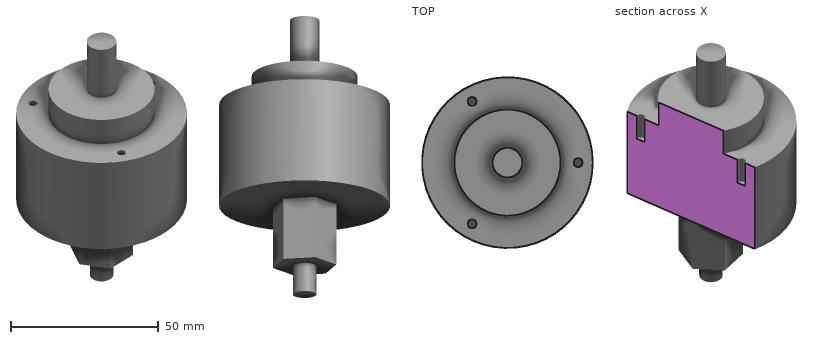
import cadquery as cq
import math

lower_shaft_diameter = 8.0
lower_shaft_length = 10.0
hex_across_flats = 19.0
hex_across_corners = hex_across_flats / math.cos(math.radians(30))
hex_length = 21.45
body_diameter = 58.0
body_length = 36.0
boss_diameter = 36.0
boss_length = 10.0
upper_shaft_diameter = 10.0
upper_shaft_length = 20.0

hole_count = 3
hole_diameter = 3.0
hole_circle_radius = 24.0
hole_depth = 10.0

hex_bottom = lower_shaft_length
body_bottom = hex_bottom + hex_length
body_top = body_bottom + body_length
boss_top = body_top + boss_length


def cylinder(diameter, length, bottom):
    """Cylinder on the Z axis standing on the given level."""
    return cq.Workplane("XY", origin=(0, 0, bottom)).circle(diameter / 2).extrude(length)


def hexagon():
    """Hexagonal section with two of its corners on the X axis."""
    return (
        cq.Workplane("XY", origin=(0, 0, hex_bottom))
        .polygon(6, hex_across_corners)
        .extrude(hex_length)
    )


def mounting_holes():
    """Cutters for the evenly spaced holes, the first one on +X."""
    return (
        cq.Workplane("XY", origin=(0, 0, body_top))
        .polarArray(hole_circle_radius, 0, 360, hole_count)
        .circle(hole_diameter / 2)
        .extrude(-hole_depth)
    )


result = (
    cylinder(lower_shaft_diameter, lower_shaft_length, 0)
    .union(hexagon())
    .union(cylinder(body_diameter, body_length, body_bottom))
    .union(cylinder(boss_diameter, boss_length, body_top))
    .union(cylinder(upper_shaft_diameter, upper_shaft_length, boss_top))
    .cut(mounting_holes())
)